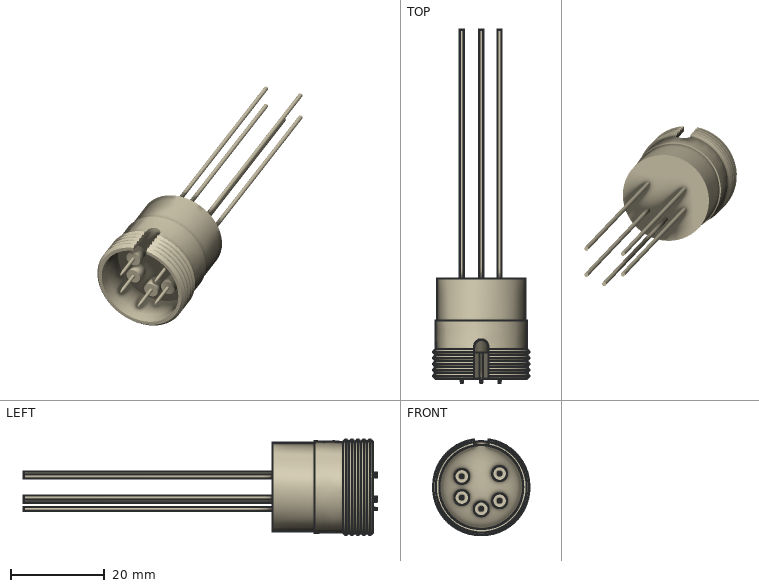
import cadquery as cq


slot_width = 3.0
slot_length = 8.4

total_length = 75.45
pin_reach = 0.8
body_length = 21.5
step_position = 12.45
rear_radius = 9.5
sleeve_step_radius = 9.8
sleeve_front_radius = 9.7
bore_radius = 9.0
floor_setback = 0.1
bore_depth = slot_length + floor_setback

ridge_count = 5
ridge_crest_radius = 10.3
ridge_pitch = 1.3
ridge_width = ridge_pitch
first_ridge = ridge_width / 2

contact_places = [(-4.15, 2.3), (-4.15, -2.3), (3.9, 2.9), (3.9, -2.95), (0, -4.7)]
boss_radius = 1.6
boss_height = 2.8
pin_radius = 0.4
pin_tip_radius = 0.19
pin_taper = 1.5
wire_radius = 0.45


def revolve_about_y(points):
    return cq.Workplane("XY").polyline(points).close().revolve(360, (0, 0), (0, 1))


def rod(x, z, radius, start, end):
    plane = cq.Plane(origin=(x, start, z), xDir=(1, 0, 0), normal=(0, 1, 0))
    return cq.Workplane(plane).circle(radius).extrude(end - start)


def shell():
    return revolve_about_y([
        (0, bore_depth),
        (bore_radius, bore_depth),
        (bore_radius, 0),
        (sleeve_front_radius, 0),
        (sleeve_step_radius, step_position),
        (rear_radius, step_position),
        (rear_radius, body_length),
        (0, body_length),
    ])


def ridge(crest):
    return revolve_about_y([
        (bore_radius, crest - ridge_width / 2),
        (sleeve_front_radius, crest - ridge_width / 2),
        (ridge_crest_radius, crest),
        (sleeve_front_radius, crest + ridge_width / 2),
        (bore_radius, crest + ridge_width / 2),
    ])


def slot():
    end_centre = slot_length - slot_width / 2
    return (
        cq.Workplane("XY")
        .moveTo(-slot_width / 2, 0)
        .lineTo(slot_width / 2, 0)
        .lineTo(slot_width / 2, end_centre)
        .threePointArc((0, slot_length), (-slot_width / 2, end_centre))
        .close()
        .extrude(ridge_crest_radius)
    )


def contact(x, z):
    boss_face = bore_depth - boss_height
    cone_start = pin_taper - pin_reach
    pin_cone = revolve_about_y([
        (0, -pin_reach),
        (pin_tip_radius, -pin_reach),
        (pin_radius, cone_start),
        (0, cone_start),
    ]).translate((x, 0, z))
    boss = rod(x, z, boss_radius, boss_face, bore_depth)
    pin = rod(x, z, pin_radius, cone_start, bore_depth)
    wire = rod(x, z, wire_radius, body_length, total_length - pin_reach)
    return boss.union(pin).union(pin_cone).union(wire)


result = shell()
for index in range(ridge_count):
    result = result.union(ridge(first_ridge + index * ridge_pitch))
result = result.cut(slot())
for x, z in contact_places:
    result = result.union(contact(x, z))